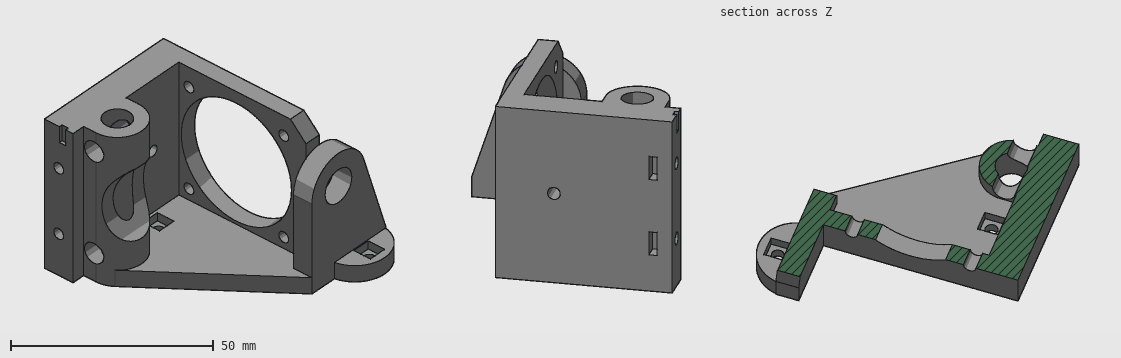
import cadquery as cq
import math

OVERCUT = 1.0

HEIGHT = 45.5
SIDE_THICKNESS = 9.4
SIDE_LENGTH = 44.85

WALL_WIDTH = 51.0
WALL_THICKNESS = 5.05
WALL_FRONT_Y = SIDE_LENGTH - WALL_THICKNESS
WALL_CHAMFER = 5.1
MOTOR_X = 28.2
MOTOR_Z = 23.95
MOTOR_OPENING_DIAMETER = 36.0
MOTOR_BOLT_SPACING = 31.0
SCREW_DIAMETER = 3.2
SCREW_HEAD_DIAMETER = 6.0

BOSS_X = 13.45
BOSS_Y = 12.0
BOSS_RADIUS = 8.0
ROD_DIAMETER = 8.0
PULLEY_CLEARANCE_DIAMETER = 26.0

FLOOR_THICKNESS = 5.0

EAR_THICKNESS = 6.0
EAR_OUTER_X = WALL_WIDTH + EAR_THICKNESS
EAR_REAR_Y = 62.96
EAR_REAR_HEIGHT = 5.3
EAR_CENTER_Y = 45.1
EAR_CENTER_Z = 27.5
EAR_RADIUS = 10.0
EAR_HOLE_DIAMETER = 10.0
EAR_FRONT_Y = EAR_CENTER_Y - EAR_RADIUS

FOOT_RADIUS = 9.75
FOOT_TIP_X = 65.02
FOOT_X = FOOT_TIP_X - FOOT_RADIUS
FOOT_Y = EAR_REAR_Y - FOOT_RADIUS

FLOOR_SCREW_POINTS = [(13.0, 28.0), (60.0, FOOT_Y)]
SQUARE_NUT_WIDTH = 5.4
SQUARE_NUT_DEPTH = 2.5

SIDE_SCREW_Y = 30.0
SIDE_SCREW_Z = 23.75

CLAMP_SCREW_X = 4.7
CLAMP_SCREW_HEIGHTS = [12.7, 32.7]
NUT_SLOT_FRONT_Y = 3.8
NUT_SLOT_WIDTH = 2.1
NUT_SLOT_HEIGHT = 6.1
NUT_SLOT_DEPTH = 4.05

NOTCH_X = 4.95
NOTCH_WIDTH = 2.0
NOTCH_HEIGHT = 4.8
NOTCH_DEPTH = 1.0


def box(corner, size):
    """Box given by its lowest corner and its X, Y, Z lengths."""
    return cq.Workplane("XY").box(*size, centered=False).translate(corner)


def cylinder_x(diameter, y, z, start, end):
    return cq.Workplane("YZ", origin=(start, y, z)).circle(diameter / 2).extrude(end - start)


def cylinder_y(diameter, x, z, start, end):
    return cq.Workplane("XZ", origin=(x, start, z)).circle(diameter / 2).extrude(start - end)


def cylinder_z(diameter, x, y, start, end):
    return cq.Workplane("XY", origin=(x, y, start)).circle(diameter / 2).extrude(end - start)


def tangent_angle(point, center, radius, side):
    """Angle on the circle where a line from the outside point touches it."""
    across = point[0] - center[0]
    up = point[1] - center[1]
    return math.atan2(up, across) + side * math.acos(radius / math.hypot(across, up))


def on_circle(center, radius, angle):
    return (center[0] + radius * math.cos(angle), center[1] + radius * math.sin(angle))


def side_plate():
    return box((0, 0, 0), (SIDE_THICKNESS, SIDE_LENGTH, HEIGHT))


def motor_wall():
    wall = box((0, WALL_FRONT_Y, 0), (WALL_WIDTH, WALL_THICKNESS, HEIGHT))
    return wall.edges(">X and >Z").chamfer(WALL_CHAMFER)


def rod_boss():
    boss = cylinder_z(2 * BOSS_RADIUS, BOSS_X, BOSS_Y, 0, HEIGHT)
    web = box((0, BOSS_Y - BOSS_RADIUS, 0), (BOSS_X, 2 * BOSS_RADIUS, HEIGHT))
    return boss.union(web)


def floor():
    """Floor whose sloping edge runs from the ear's front corner tangent to the rod boss."""
    boss_center = (BOSS_X, BOSS_Y)
    ear_corner = (EAR_OUTER_X, EAR_FRONT_Y)
    angle = tangent_angle(ear_corner, boss_center, BOSS_RADIUS, -1)
    outline = [
        (0, WALL_FRONT_Y),
        (0, BOSS_Y),
        boss_center,
        on_circle(boss_center, BOSS_RADIUS, angle),
        ear_corner,
        (EAR_OUTER_X, WALL_FRONT_Y),
    ]
    return cq.Workplane("XY").polyline(outline).close().extrude(FLOOR_THICKNESS)


def ear():
    """Upright plate with a round top, a straight front edge and a sloping rear edge."""
    center = (EAR_CENTER_Y, EAR_CENTER_Z)
    rear_corner = (EAR_REAR_Y, EAR_REAR_HEIGHT)
    angle = tangent_angle(rear_corner, center, EAR_RADIUS, 1)
    return (
        cq.Workplane("YZ", origin=(WALL_WIDTH, 0, 0))
        .moveTo(EAR_FRONT_Y, 0)
        .lineTo(EAR_REAR_Y, 0)
        .lineTo(*rear_corner)
        .lineTo(*on_circle(center, EAR_RADIUS, angle))
        .threePointArc((EAR_CENTER_Y, EAR_CENTER_Z + EAR_RADIUS), (EAR_FRONT_Y, EAR_CENTER_Z))
        .close()
        .extrude(EAR_THICKNESS)
    )


def foot():
    """Disc under the ear, kept only on the outer side of the ear's inner face."""
    disc = cylinder_z(2 * FOOT_RADIUS, FOOT_X, FOOT_Y, 0, FLOOR_THICKNESS)
    kept = box(
        (WALL_WIDTH, FOOT_Y - FOOT_RADIUS, 0),
        (FOOT_TIP_X - WALL_WIDTH, 2 * FOOT_RADIUS, FLOOR_THICKNESS),
    )
    return disc.intersect(kept)


def cut_motor_mount(body):
    """Central openings and four bolt holes, with head access through the boss side."""
    rear = SIDE_LENGTH + OVERCUT
    body = body.cut(cylinder_y(MOTOR_OPENING_DIAMETER, MOTOR_X, MOTOR_Z, WALL_FRONT_Y, rear))
    body = body.cut(cylinder_y(PULLEY_CLEARANCE_DIAMETER, MOTOR_X, MOTOR_Z, 0, WALL_FRONT_Y))
    for x_side in (-1, 1):
        for z_side in (-1, 1):
            x = MOTOR_X + x_side * MOTOR_BOLT_SPACING / 2
            z = MOTOR_Z + z_side * MOTOR_BOLT_SPACING / 2
            body = body.cut(cylinder_y(SCREW_DIAMETER, x, z, WALL_FRONT_Y, rear))
            body = body.cut(cylinder_y(SCREW_HEAD_DIAMETER, x, z, 0, WALL_FRONT_Y))
    return body


def cut_floor_screws(body):
    pocket_floor = FLOOR_THICKNESS - SQUARE_NUT_DEPTH
    for x, y in FLOOR_SCREW_POINTS:
        corner = (x - SQUARE_NUT_WIDTH / 2, y - SQUARE_NUT_WIDTH / 2, pocket_floor)
        body = body.cut(cylinder_z(SCREW_DIAMETER, x, y, -OVERCUT, FLOOR_THICKNESS))
        body = body.cut(box(corner, (SQUARE_NUT_WIDTH, SQUARE_NUT_WIDTH, SQUARE_NUT_DEPTH)))
    return body


def cut_clamp_screws(body):
    for z in CLAMP_SCREW_HEIGHTS:
        slot = box(
            (0, NUT_SLOT_FRONT_Y, z - NUT_SLOT_HEIGHT / 2),
            (NUT_SLOT_DEPTH, NUT_SLOT_WIDTH, NUT_SLOT_HEIGHT),
        )
        body = body.cut(slot)
        body = body.cut(cylinder_y(SCREW_DIAMETER, CLAMP_SCREW_X, z, 0, NUT_SLOT_FRONT_Y))
    return body


def cut_notch(body):
    corner = (NOTCH_X, 0, HEIGHT - NOTCH_HEIGHT)
    return body.cut(box(corner, (NOTCH_WIDTH, NOTCH_DEPTH, NOTCH_HEIGHT)))


bracket = side_plate().union(motor_wall()).union(rod_boss()).union(floor()).union(ear()).union(foot())
bracket = bracket.cut(cylinder_z(ROD_DIAMETER, BOSS_X, BOSS_Y, -OVERCUT, HEIGHT + OVERCUT))
bracket = bracket.cut(
    cylinder_x(EAR_HOLE_DIAMETER, EAR_CENTER_Y, EAR_CENTER_Z, WALL_WIDTH, EAR_OUTER_X + OVERCUT)
)
bracket = bracket.cut(cylinder_x(SCREW_DIAMETER, SIDE_SCREW_Y, SIDE_SCREW_Z, -OVERCUT, SIDE_THICKNESS))
bracket = cut_motor_mount(bracket)
bracket = cut_floor_screws(bracket)
bracket = cut_clamp_screws(bracket)
result = cut_notch(bracket)